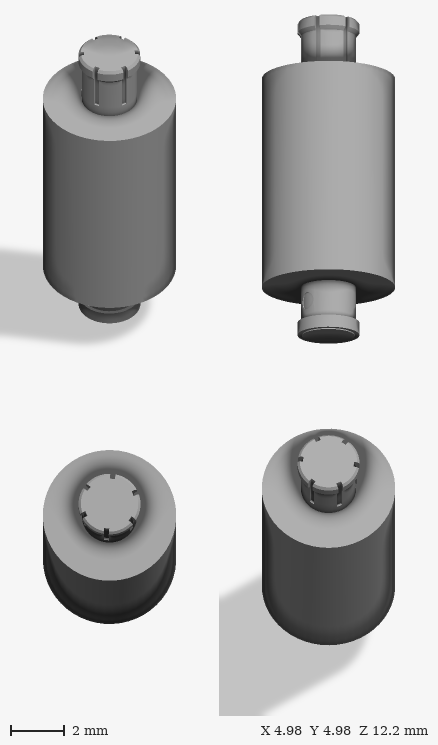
import cadquery as cq

total_height = 12.18
collar_bottom = 0.04
collar_top = 0.51
body_bottom = 1.89
body_top = 9.98
slot_bottom = 10.4

body_radius = 2.491
core_radius = 0.99
slot_floor_radius = 0.95
lower_neck_radius = 1.02
upper_neck_radius = 1.04
rim_radius = 1.16

head_chamfer_width = 0.09
head_chamfer_height = 0.1
head_band_height = 0.33
head_taper_height = 0.15
head_band_top = total_height - head_chamfer_height
head_band_bottom = head_band_top - head_band_height
head_taper_bottom = head_band_bottom - head_taper_height

slot_count = 6
slot_width = 0.2
hole_diameter = 0.65
hole_height = 1.19


def cylinder(radius, bottom, top):
    return cq.Workplane("XY").workplane(offset=bottom).circle(radius).extrude(top - bottom)


def upper_sleeve():
    """Upper neck with its chamfered, tapered head."""
    profile = [
        (0, body_top),
        (upper_neck_radius, body_top),
        (upper_neck_radius, head_taper_bottom),
        (rim_radius, head_band_bottom),
        (rim_radius, head_band_top),
        (rim_radius - head_chamfer_width, total_height),
        (0, total_height),
    ]
    return cq.Workplane("XZ").polyline(profile).close().revolve(360, (0, 0, 0), (0, 1, 0))


def cut_slots(sleeve):
    """Split the upper sleeve into equal fingers, with two slots on the Y axis."""
    slot = (
        cq.Workplane("XY")
        .workplane(offset=slot_bottom)
        .center(0, rim_radius / 2)
        .rect(slot_width, rim_radius)
        .extrude(total_height - slot_bottom)
    )
    for index in range(slot_count):
        sleeve = sleeve.cut(slot.rotate((0, 0, 0), (0, 0, 1), index * 360 / slot_count))
    return sleeve


def lower_sleeve():
    """Lower neck and collar, with a hole through the wall on both X sides."""
    neck = cylinder(lower_neck_radius, collar_bottom, body_bottom)
    collar = cylinder(rim_radius, collar_bottom, collar_top)
    hole = (
        cq.Workplane("YZ")
        .center(0, hole_height)
        .circle(hole_diameter / 2)
        .extrude(rim_radius, both=True)
    )
    return neck.union(collar).cut(hole)


core = cylinder(core_radius, 0, body_top).union(cylinder(slot_floor_radius, body_top, total_height))
body = cylinder(body_radius, body_bottom, body_top)
result = body.union(core).union(lower_sleeve()).union(cut_slots(upper_sleeve()))